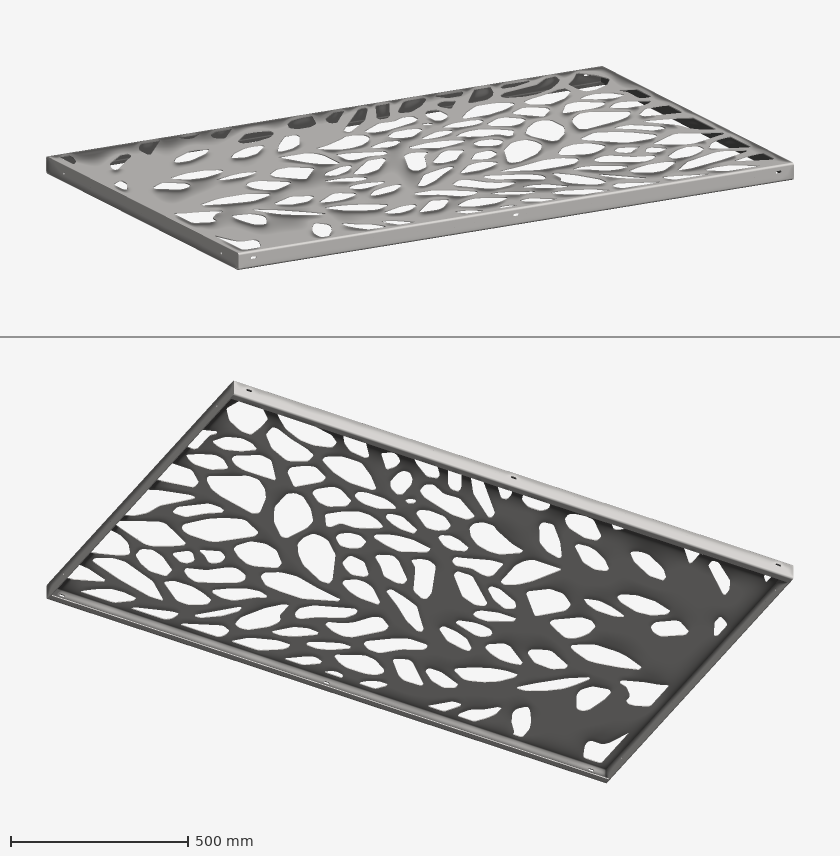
import cadquery as cq
import math


width = 1100.0
length = 1800.0
height = 50.0

sheet = 3.0
bend_radius = 6.3
lip_width = 23.0
end_recess = 0.4

end_hole_diameter = 7.0
end_hole_x = 450.0
end_hole_z = 25.0
side_slot_length = 18.0
side_slot_height = 7.0
side_slot_y = 851.0
side_slot_z = 30.0

right = 527.0
left = -right
top = 873.0
bottom = -top

corner_setback = 9.0
side_share = 0.4

upper_left_openings = [
    [(-525.0, 806.0, 9.0), (-425.0, 857.0, 13.0), (-351.0, 770.0), (-350.0, 735.0, 4.0), (-435.0, 727.0, -4.0)],
    [(-302.0, top), (-212.0, top), (-212.0, 845.0), (-221.0, 835.0), (-292.0, 835.0), (-308.0, 820.0),
     (-319.0, 828.0)],
    [(-270.0, 819.0, 4.0), (-252.0, 769.0, 7.0), (-297.0, 684.0, 7.0), (-324.0, 750.0, 15.0)],
    [(-180.0, 853.0, 4.0), (-151.0, 812.0), (-151.0, 756.0), (-180.0, 713.0), (-212.0, 749.0), (-220.0, 778.0, 4.0)],
    [(-126.0, top), (-35.0, top), (-55.0, 756.0), (-83.0, 756.0), (-126.0, 803.0)],
    [(-527.0, 736.0), (-485.0, 729.0), (-455.0, 704.0), (-420.0, 662.0), (-395.0, 603.0), (-390.0, 558.0),
     (-407.0, 504.0), (-434.0, 504.0), (-459.0, 536.0), (-482.0, 653.0), (-524.0, 705.0)],
    [(-412.0, 700.0), (-370.0, 700.0, 13.0), (-293.0, 594.0), (-293.0, 581.0), (-319.0, 533.0), (-351.0, 533.0),
     (-369.0, 567.0, -4.0), (-412.0, 684.0)],
    [(-241.0, 730.0), (-221.0, 729.0, 5.0), (-195.0, 677.0), (-195.0, 569.0), (-274.0, 628.0), (-280.0, 666.0)],
    [(-122.0, 750.0), (-100.0, 742.0, 7.0), (-55.0, 673.0), (-27.0, 555.0), (-40.0, 536.0), (-108.0, 555.0, 7.0),
     (-176.0, 615.0), (-178.0, 652.0, -2.0)],
    [(left, 648.0), (-511.0, 648.0), (-488.0, 585.0), (-490.0, 545.0), (-504.0, 545.0), (left, 575.0)],
    [(-270.0, 565.0), (-245.0, 562.0), (-193.0, 511.0), (-254.0, 452.0), (-275.0, 452.0), (-306.0, 504.0),
     (-299.0, 530.0)],
    [(-157.0, 515.0), (-85.0, 515.0, 10.0), (29.0, 432.0), (27.0, 412.0), (-43.0, 385.0), (-77.0, 385.0, 7.0),
     (-167.0, 468.0), (-171.0, 495.0)],
    [(left, 525.0), (-475.0, 508.0, 7.0), (-415.0, 454.0), (-409.0, 400.0), (-420.0, 392.0), (-495.0, 450.0),
     (left, 477.0)],
    [(-360.0, 504.0), (-340.0, 502.0, 7.0), (-286.0, 387.0), (-286.0, 310.0), (-297.0, 302.0, 5.0), (-385.0, 400.0),
     (-385.0, 460.0)],
]

upper_right_openings = [
    [(18.0, top), (158.0, top, 7.0), (112.0, 814.0), (65.0, 800.0), (0.0, 740.0), (-16.0, 727.0), (-22.0, 747.0),
     (2.0, 837.0)],
    [(47.0, 756.0), (77.0, 756.0), (77.0, 711.0), (36.0, 670.0), (9.0, 630.0), (-2.0, 630.0), (-10.0, 648.0),
     (-10.0, 685.0)],
    [(187.0, top), (203.0, top), (245.0, 752.0), (243.0, 729.0, 4.0), (195.0, 650.0), (184.0, 652.0), (130.0, 747.0),
     (131.0, 770.0)],
    [(230.0, top), (356.0, top), (324.0, 785.0), (306.0, 763.0), (263.0, 794.0, 7.0)],
    [(369.0, 845.0), (385.0, 845.0, 5.0), (454.0, 621.0), (452.0, 580.0), (446.0, 581.0), (385.0, 648.0),
     (342.0, 761.0), (344.0, 800.0)],
    [(415.0, top), (491.0, top), (488.0, 850.0), (454.0, 767.0), (445.0, 767.0), (421.0, 833.0)],
    [(right, 808.0), (right, 695.0), (491.0, 650.0), (477.0, 650.0), (470.0, 695.0), (473.0, 736.0, 4.0)],
    [(108.0, 700.0), (128.0, 698.0, 4.0), (145.0, 662.0), (145.0, 598.0, 4.0), (119.0, 558.0), (61.0, 495.0),
     (41.0, 495.0), (9.0, 555.0), (9.0, 569.0, 5.0), (54.0, 653.0)],
    [(268.0, 750.0), (302.0, 750.0, 5.0), (350.0, 679.0), (347.0, 625.0), (315.0, 623.0), (270.0, 680.0),
     (255.0, 720.0)],
    [(240.0, 660.0), (250.0, 659.0), (270.0, 625.0), (266.0, 603.0), (247.0, 589.0), (216.0, 612.0), (210.0, 628.0)],
    [(193.0, 603.0), (200.0, 600.0), (209.0, 580.0), (232.0, 555.0), (232.0, 540.0), (216.0, 520.0), (189.0, 520.0),
     (170.0, 547.0)],
    [(286.0, 598.0), (305.0, 592.0, 5.0), (331.0, 540.0, 4.0), (274.0, 430.0), (255.0, 421.0), (234.0, 432.0),
     (218.0, 468.0), (223.0, 491.0), (266.0, 540.0)],
    [(375.0, 621.0), (434.0, 545.0), (435.0, 508.0), (407.0, 459.0), (383.0, 459.0, 4.0), (353.0, 540.0),
     (355.0, 598.0)],
    [(right, 643.0), (right, 530.0), (511.0, 513.0), (482.0, 508.0), (482.0, 530.0), (517.0, 634.0)],
    [(125.0, 522.0), (144.0, 522.0, 5.0), (187.0, 455.0), (187.0, 432.0), (162.0, 367.0), (139.0, 367.0), (90.0, 412.0),
     (77.0, 454.0), (88.0, 497.0)],
    [(340.0, 480.0), (353.0, 475.0), (362.0, 441.0), (356.0, 403.0), (311.0, 355.0), (300.0, 330.0), (292.0, 330.0),
     (280.0, 360.0), (288.0, 401.0, 4.0)],
    [(466.0, 468.0), (473.0, 465.0), (472.0, 446.0), (434.0, 396.0), (390.0, 365.0), (373.0, 367.0), (373.0, 376.0)],
    [(right, 482.0), (right, 358.0), (510.0, 345.0), (486.0, 344.0), (472.0, 375.0), (518.0, 479.0)],
]

middle_left_openings = [
    [(left, 432.0), (-510.0, 430.0), (-485.0, 409.0), (-485.0, 365.0), (-515.0, 342.0), (left, 351.0)],
    [(-452.0, 375.0), (-389.0, 322.0), (-414.0, 305.0), (-441.0, 305.0, 4.0), (-472.0, 342.0)],
    [(left, 308.0), (-504.0, 308.0, 7.0), (-415.0, 207.0), (-423.0, 175.0), (-440.0, 176.0), (-518.0, 240.0),
     (left, 261.0)],
    [(-392.0, 286.0), (-345.0, 286.0, 7.0), (-302.0, 241.0), (-310.0, 225.0), (-360.0, 225.0, 5.0), (-410.0, 257.0),
     (-410.0, 277.0)],
    [(-290.0, 209.0), (-279.0, 190.0), (-293.0, 175.0), (-306.0, 180.0), (-305.0, 198.0)],
    [(-261.0, 344.0), (-240.0, 344.0, 4.0), (-218.0, 299.0), (-218.0, 255.0), (-243.0, 205.0, 4.0), (-270.0, 263.0),
     (-270.0, 320.0)],
    [(-215.0, 454.0), (-193.0, 454.0), (-164.0, 418.0), (-158.0, 383.0), (-185.0, 337.0), (-215.0, 337.0),
     (-248.0, 392.0), (-248.0, 418.0)],
    [(-125.0, 375.0), (-75.0, 344.0), (-77.0, 330.0), (-108.0, 313.0), (-108.0, 268.0, 4.0), (-148.0, 196.0, 5.0),
     (-182.0, 261.0), (-182.0, 297.0, 5.0)],
    [(-61.0, 295.0), (-41.0, 295.0), (-15.0, 266.0), (-16.0, 234.0), (-35.0, 207.0), (-67.0, 207.0), (-85.0, 240.0),
     (-81.0, 274.0)],
    [(-210.0, 221.0), (-190.0, 216.0, 4.0), (-164.0, 153.0), (-164.0, 108.0), (-184.0, 108.0), (-220.0, 176.0),
     (-218.0, 202.0)],
    [(-110.0, 203.0), (-94.0, 202.0, 4.0), (-70.0, 106.0), (-106.0, 32.0), (-126.0, 32.0), (-139.0, 99.0),
     (-135.0, 144.0, 4.0)],
    [(-270.0, 151.0), (-250.0, 151.0), (-205.0, 94.0), (-207.0, 60.0), (-225.0, 35.0), (-247.0, 35.0), (-277.0, 72.0),
     (-280.0, 125.0)],
    [(-382.0, 195.0), (-347.0, 193.0, 5.0), (-317.0, 135.0), (-293.0, 60.0), (-293.0, 9.0), (-317.0, -5.0),
     (-373.0, 77.0), (-369.0, 126.0), (-395.0, 173.0)],
    [(left, 196.0), (-520.0, 196.0), (-410.0, 135.0), (-396.0, 117.0), (-398.0, 94.0), (-412.0, 94.0), (-515.0, 148.0),
     (left, 158.0)],
    [(left, 117.0), (-504.0, 117.0, 16.0), (-333.0, -36.0), (-335.0, -47.0), (-356.0, -47.0), (-517.0, 94.0)],
    [(left, 43.0), (-518.0, 49.0), (-427.0, -27.0), (-432.0, -45.0), (-455.0, -45.0), (-480.0, -35.0),
     (left, 22.0)],
    [(-52.0, 60.0), (-25.0, 29.0), (72.0, -18.0), (92.0, -54.0), (88.0, -70.0), (60.0, -70.0), (-61.0, -18.0),
     (-75.0, 10.0), (-70.0, 36.0)],
    [(-195.0, 41.0), (-180.0, 41.0), (-155.0, 9.0), (-148.0, -22.0), (-162.0, -60.0), (-180.0, -60.0), (-202.0, -15.0),
     (-207.0, 16.0)],
]

middle_right_openings = [
    [(-29.0, 360.0), (2.0, 375.0), (36.0, 375.0, 5.0), (115.0, 313.0), (158.0, 234.0), (157.0, 205.0), (139.0, 205.0),
     (29.0, 255.0), (-20.0, 306.0), (-29.0, 331.0)],
    [(198.0, 392.0), (221.0, 392.0), (250.0, 360.0), (255.0, 306.0), (255.0, 240.0), (216.0, 142.0), (205.0, 142.0),
     (190.0, 221.0), (170.0, 302.0), (175.0, 353.0)],
    [(414.0, 350.0), (452.0, 350.0), (460.0, 328.0), (457.0, 302.0), (414.0, 255.0), (387.0, 243.0), (370.0, 243.0),
     (358.0, 255.0), (299.0, 255.0), (300.0, 272.0), (342.0, 310.0)],
    [(right, 322.0), (right, 229.0), (490.0, 173.0), (475.0, 162.0), (459.0, 162.0), (459.0, 207.0), (486.0, 283.0)],
    [(430.0, 241.0), (435.0, 234.0), (435.0, 209.0), (421.0, 171.0), (382.0, 119.0), (370.0, 122.0), (367.0, 157.0),
     (382.0, 196.0)],
    [(297.0, 225.0), (324.0, 225.0), (342.0, 212.0), (340.0, 196.0), (315.0, 165.0), (274.0, 86.0), (245.0, 70.0),
     (229.0, 74.0), (223.0, 86.0), (266.0, 196.0)],
    [(122.0, 178.0), (139.0, 175.0, 5.0), (175.0, 100.0), (176.0, 38.0), (165.0, 36.0), (112.0, 92.0), (100.0, 120.0),
     (100.0, 150.0)],
    [(10.0, 215.0), (20.0, 221.0), (54.0, 221.0, 4.0), (90.0, 171.0), (81.0, 135.0), (68.0, 126.0), (18.0, 170.0)],
    [(-29.0, 153.0), (-15.0, 153.0, -4.0), (52.0, 88.0), (63.0, 41.0), (55.0, 20.0), (36.0, 20.0), (-35.0, 88.0),
     (-47.0, 113.0)],
    [(425.0, 128.0), (440.0, 126.0), (441.0, 90.0), (428.0, 54.0), (395.0, 7.0), (385.0, 9.0), (383.0, 40.0),
     (400.0, 80.0)],
    [(right, 153.0), (right, 86.0), (497.0, 47.0), (486.0, 47.0), (475.0, 75.0), (486.0, 99.0)],
    [(315.0, 125.0), (331.0, 125.0, 5.0), (355.0, 54.0), (345.0, 27.0), (274.0, -40.0), (252.0, -40.0), (223.0, 0.0),
     (234.0, 25.0), (280.0, 58.0), (300.0, 83.0)],
    [(94.0, 41.0), (110.0, 50.0), (157.0, -13.0), (203.0, -67.0), (232.0, -117.0), (229.0, -133.0), (215.0, -130.0),
     (173.0, -95.0), (130.0, -61.0), (108.0, -7.0)],
    [(440.0, 30.0), (450.0, 29.0, 4.0), (479.0, -23.0), (479.0, -85.0), (470.0, -115.0), (450.0, -131.0),
     (435.0, -125.0), (407.0, -80.0), (401.0, -45.0)],
    [(right, 23.0), (right, -41.0), (511.0, -32.0), (508.0, -13.0), (511.0, 4.0)],
]

lower_left_openings = [
    [(left, -52.0), (-448.0, -81.0), (-428.0, -112.0), (-428.0, -155.0), (-450.0, -170.0), (-490.0, -153.0),
     (-517.0, -122.0), (left, -86.0)],
    [(-288.0, -15.0), (-263.0, -15.0, 7.0), (-203.0, -72.0), (-193.0, -113.0), (-195.0, -150.0), (-230.0, -200.0),
     (-243.0, -200.0), (-255.0, -157.0), (-292.0, -86.0), (-306.0, -70.0), (-306.0, -36.0)],
    [(-126.0, -45.0), (-103.0, -45.0), (-88.0, -65.0), (-99.0, -112.0), (-88.0, -148.0), (-88.0, -171.0), (-100.0, -182.0),
     (-164.0, -182.0), (-160.0, -140.0), (-130.0, -61.0)],
    [(-387.0, -182.0), (-367.0, -182.0), (-297.0, -221.0), (-270.0, -261.0), (-260.0, -305.0), (-268.0, -310.0),
     (-330.0, -270.0), (-392.0, -215.0)],
    [(-455.0, -229.0), (-432.0, -229.0, 4.0), (-396.0, -263.0), (-378.0, -320.0), (-383.0, -360.0),
     (-407.0, -362.0), (-466.0, -302.0), (-470.0, -274.0), (-465.0, -243.0)],
    [(-345.0, -319.0), (-331.0, -315.0), (-275.0, -373.0), (-261.0, -418.0), (-272.0, -452.0), (-283.0, -454.0),
     (-317.0, -421.0), (-342.0, -378.0), (-350.0, -351.0)],
    [(left, -315.0), (-518.0, -317.0), (-450.0, -376.0), (-460.0, -396.0), (-475.0, -403.0), (-502.0, -395.0),
     (left, -358.0)],
    [(-173.0, -212.0), (-83.0, -212.0), (-75.0, -229.0, 7.0), (-130.0, -292.0), (-215.0, -337.0), (-220.0, -335.0),
     (-220.0, -241.0, 5.0)],
    [(-83.0, -302.0), (-70.0, -302.0), (13.0, -376.0), (-54.0, -441.0), (-85.0, -441.0), (-120.0, -396.0),
     (-122.0, -351.0)],
    [(-70.0, -81.0), (-49.0, -81.0), (29.0, -151.0), (47.0, -202.0), (38.0, -230.0), (23.0, -230.0), (-70.0, -130.0)],
    [(-54.0, -198.0), (-36.0, -198.0), (0.0, -235.0), (22.0, -283.0), (15.0, -300.0), (4.0, -311.0),
     (-22.0, -295.0), (-54.0, -227.0)],
    [(left, -418.0), (-518.0, -423.0), (-497.0, -454.0), (-497.0, -472.0), (-511.0, -485.0), (left, -485.0)],
    [(left, -542.0), (-415.0, -637.0), (-421.0, -645.0), (-468.0, -645.0, 4.0), (-518.0, -612.0), (left, -601.0)],
    [(-385.0, -468.0), (-375.0, -472.0), (-347.0, -497.0), (-310.0, -567.0), (-310.0, -614.0), (-325.0, -614.0),
     (-358.0, -587.0), (-398.0, -518.0), (-398.0, -490.0)],
    [(-196.0, -538.0), (-178.0, -535.0), (-162.0, -556.0), (-144.0, -615.0), (-150.0, -662.0), (-176.0, -700.0),
     (-195.0, -700.0), (-215.0, -639.0), (-215.0, -580.0)],
    [(-128.0, -454.0), (-108.0, -479.0), (-95.0, -513.0), (-95.0, -572.0), (-108.0, -603.0), (-119.0, -581.0),
     (-133.0, -540.0), (-140.0, -499.0)],
    [(-459.0, -688.0), (-432.0, -690.0), (-335.0, -790.0), (-335.0, -800.0), (-356.0, -800.0), (-400.0, -780.0),
     (-460.0, -707.0)],
    [(-128.0, -685.0), (-100.0, -685.0), (-83.0, -704.0), (-75.0, -733.0), (-117.0, -792.0), (-135.0, -792.0),
     (-165.0, -745.0), (-162.0, -730.0)],
    [(left, -840.0), (-500.0, -840.0), (-460.0, -853.0), (-437.0, bottom), (left, bottom)],
    [(-241.0, -833.0), (-207.0, -833.0), (-150.0, -864.0), (-158.0, bottom), (-215.0, bottom), (-232.0, -851.0)],
]

lower_right_openings = [
    [(72.0, -218.0), (90.0, -218.0), (97.0, -240.0), (97.0, -270.0), (61.0, -337.0), (45.0, -337.0), (45.0, -279.0),
     (60.0, -230.0)],
    [(131.0, -195.0), (148.0, -195.0), (171.0, -270.0), (170.0, -293.0), (151.0, -311.0), (142.0, -311.0), (126.0, -299.0),
     (119.0, -270.0), (119.0, -240.0)],
    [(175.0, -170.0), (195.0, -167.0), (232.0, -215.0), (245.0, -270.0), (245.0, -293.0), (230.0, -293.0),
     (196.0, -260.0), (180.0, -216.0)],
    [(342.0, -15.0), (358.0, -15.0), (375.0, -38.0), (375.0, -75.0), (330.0, -120.0), (302.0, -175.0), (290.0, -182.0),
     (274.0, -175.0), (274.0, -115.0), (297.0, -72.0)],
    [(376.0, -125.0), (387.0, -125.0), (441.0, -173.0), (454.0, -196.0), (452.0, -252.0), (443.0, -255.0),
     (365.0, -176.0), (360.0, -160.0)],
    [(right, -88.0), (right, -145.0), (499.0, -167.0), (490.0, -165.0), (490.0, -137.0), (508.0, -103.0)],
    [(367.0, -229.0), (387.0, -229.0), (418.0, -266.0), (430.0, -311.0), (414.0, -342.0), (396.0, -342.0),
     (367.0, -270.0)],
    [(333.0, -297.0), (345.0, -299.0), (367.0, -338.0), (367.0, -356.0, 5.0), (328.0, -435.0), (288.0, -466.0),
     (274.0, -466.0), (274.0, -427.0), (285.0, -382.0), (306.0, -337.0)],
    [(189.0, -322.0), (209.0, -322.0, 4.0), (238.0, -387.0), (238.0, -423.0), (230.0, -452.0), (220.0, -452.0),
     (167.0, -382.0), (164.0, -362.0)],
    [(right, -310.0), (right, -367.0), (480.0, -396.0), (472.0, -392.0), (472.0, -365.0)],
    [(513.0, -409.0), (right, -409.0), (right, -465.0), (493.0, -490.0), (466.0, -502.0), (434.0, -502.0),
     (434.0, -490.0), (466.0, -457.0), (482.0, -427.0)],
    [(2.0, -427.0), (20.0, -427.0), (40.0, -459.0), (60.0, -499.0), (52.0, -522.0, 4.0), (5.0, -550.0),
     (-29.0, -550.0), (-49.0, -525.0), (-49.0, -493.0)],
    [(77.0, -533.0), (90.0, -533.0), (103.0, -553.0), (122.0, -605.0), (120.0, -635.0), (108.0, -698.0), (90.0, -756.0),
     (75.0, -756.0), (50.0, -691.0), (45.0, -660.0), (45.0, -589.0)],
    [(153.0, -440.0), (173.0, -440.0), (203.0, -479.0), (207.0, -536.0), (185.0, -570.0), (170.0, -570.0),
     (131.0, -497.0), (133.0, -480.0)],
    [(324.0, -493.0), (333.0, -493.0), (331.0, -522.0), (305.0, -570.0), (270.0, -612.0), (234.0, -635.0),
     (196.0, -655.0), (187.0, -648.0), (223.0, -594.0), (288.0, -525.0)],
    [(250.0, -655.0), (275.0, -655.0), (337.0, -688.0), (337.0, -710.0), (320.0, -724.0), (255.0, -738.0),
     (223.0, -738.0), (210.0, -725.0), (221.0, -675.0)],
    [(157.0, -735.0), (171.0, -735.0), (178.0, -761.0), (210.0, -792.0), (235.0, -792.0), (245.0, -803.0),
     (245.0, -825.0), (225.0, -865.0), (112.0, -865.0), (125.0, -837.0), (133.0, -795.0)],
    [(418.0, -538.0), (440.0, -538.0, 5.0), (517.0, -587.0), (right, -587.0), (right, -620.0), (486.0, -620.0),
     (450.0, -605.0), (407.0, -578.0), (390.0, -562.0)],
    [(454.0, -790.0), (473.0, -790.0), (right, -814.0), (right, bottom), (356.0, bottom), (430.0, -846.0),
     (446.0, -832.0), (446.0, -797.0)],
]

openings = (
    upper_left_openings
    + upper_right_openings
    + middle_left_openings
    + middle_right_openings
    + lower_left_openings
    + lower_right_openings
)


def with_crowns(corners):
    """Corner points, with a crown point added in the middle of every bowed side."""
    points = []
    for index, (x, y, *bow) in enumerate(corners):
        points.append(cq.Vector(x, y))
        if bow:
            next_x, next_y = corners[(index + 1) % len(corners)][:2]
            side = math.hypot(next_x - x, next_y - y)
            crown_x = (x + next_x) / 2 - bow[0] * (next_y - y) / side
            crown_y = (y + next_y) / 2 + bow[0] * (next_x - x) / side
            points.append(cq.Vector(crown_x, crown_y))
    return points


def corner_arc(before, corner, after):
    """Start, middle and end of the arc that rounds a corner, tangent to both its sides."""
    to_before = before - corner
    to_after = after - corner
    setback = min(corner_setback, side_share * to_before.Length, side_share * to_after.Length)
    start = corner + to_before.normalized() * setback
    end = corner + to_after.normalized() * setback
    half_angle = to_before.getAngle(to_after) / 2
    radius = setback * math.tan(half_angle)
    inward = (start + end) * 0.5 - corner
    middle = corner + inward.normalized() * (radius / math.sin(half_angle) - radius)
    return start, middle, end


def opening_wire(corners):
    """Closed outline of one opening: straight sides joined by corner arcs."""
    points = with_crowns(corners)
    count = len(points)
    arcs = [corner_arc(points[i - 1], points[i], points[(i + 1) % count]) for i in range(count)]
    edges = []
    for index, (start, middle, end) in enumerate(arcs):
        edges.append(cq.Edge.makeThreePointArc(start, middle, end))
        edges.append(cq.Edge.makeLine(end, arcs[(index + 1) % count][0]))
    return cq.Wire.assembleEdges(edges)


def long_bar(bar_width, bar_height, edge_radius):
    """Bar along Y over the full length, its four long edges rounded, centred on the section."""
    bar = cq.Workplane("XY").box(bar_width, length, bar_height)
    return bar.edges("|Y").fillet(edge_radius).translate((0, 0, height / 2))


def folded_sheet():
    """Face, side walls and the lips turned in underneath, as one bent sheet."""
    outside = long_bar(width, height, bend_radius)
    inside = long_bar(width - 2 * sheet, height - 2 * sheet, bend_radius - sheet)
    between_lips = cq.Workplane("XY").box(width - 2 * lip_width, length, height)
    return outside.cut(inside).cut(between_lips)


def end_plate(side):
    """Plate closing one short side, reaching down between the lips; side is -1 or +1."""
    plate_y = side * (length / 2 - end_recess - sheet / 2)
    upper = cq.Workplane("XY").box(width - sheet, sheet, height - sheet)
    lower = cq.Workplane("XY").box(width - 2 * lip_width, sheet, height / 2)
    upper = upper.translate((0, plate_y, height / 2)).intersect(long_bar(width, height, bend_radius))
    return upper.union(lower.translate((0, plate_y, height / 4)))


def face_cutter():
    """All openings, deep enough to pierce the face only."""
    depth = 2 * sheet
    start_z = height - 1.5 * sheet
    rise = cq.Vector(0, 0, depth)
    prisms = [cq.Solid.extrudeLinear(opening_wire(corners), [], rise) for corners in openings]
    return cq.Workplane(cq.Compound.makeCompound(prisms)).translate((0, 0, start_z))


def end_holes():
    """Round holes through both end plates."""
    points = [(-end_hole_x, end_hole_z), (end_hole_x, end_hole_z)]
    return cq.Workplane("XZ").pushPoints(points).circle(end_hole_diameter / 2).extrude(length, both=True)


def side_slots():
    """Slots through both side walls, near each end and halfway."""
    points = [(y, side_slot_z) for y in (-side_slot_y, 0, side_slot_y)]
    slots = cq.Workplane("YZ").pushPoints(points).slot2D(side_slot_length, side_slot_height)
    return slots.extrude(width, both=True)


panel = folded_sheet()
for end in (-1, 1):
    panel = panel.union(end_plate(end))
result = panel.cut(face_cutter()).cut(end_holes()).cut(side_slots())